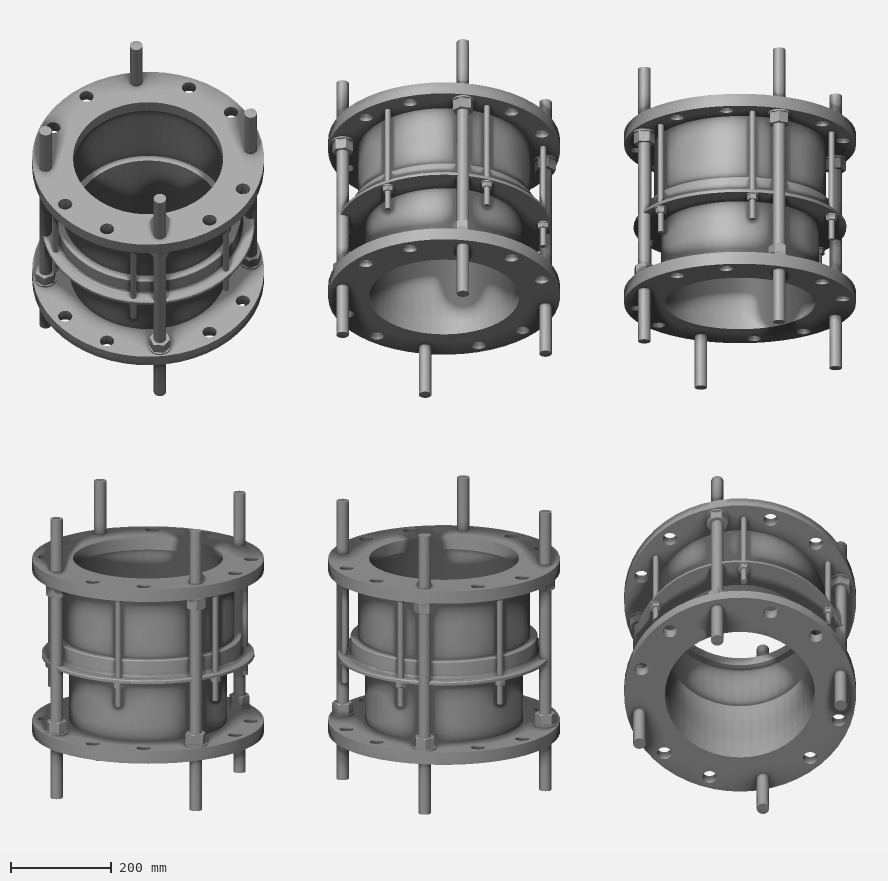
import cadquery as cq
import math

rod_length = 575.0
flange_diameter = 460.0
flange_thickness = 25.5
flange_spacing = 359.0
flange_outer_z = flange_spacing / 2
flange_inner_z = flange_outer_z - flange_thickness

bore_radius = 149.0
lower_pipe_radius = 156.5
upper_pipe_inner_radius = 161.5
upper_pipe_radius = 171.0
lower_pipe_top_z = 6.0

gland_bottom_z = -20.5
gland_plate_thickness = 7.0
gland_plate_radius = 211.0
gland_hub_top_z = 20.5
gland_hub_top_radius = 186.0
gland_hub_base_radius = 187.5
gland_hub_edge_round = 2.5
gland_hub_base_fillet = 6.0
gland_plate_edge_round = 2.0

bolt_circle_radius = 204.5
bolt_count = 12
rod_every = 3
first_rod_angle = 45.0
bolt_hole_diameter = 28.0
rod_diameter = 25.0
rod_washer_diameter = 44.0
rod_washer_thickness = 3.5
rod_nut_flats = 36.0
rod_nut_height = 22.0
upper_nut_turn = 23.0
lower_nut_turn = 15.0

gland_bolt_count = 6
gland_bolt_circle_radius = 197.0
gland_bolt_diameter = 12.0
gland_bolt_end_z = -72.5
gland_washer_diameter = 24.0
gland_washer_thickness = 2.5
gland_nut_flats = 19.0
gland_nut_height = 10.0
gland_nut_turn = 30.0

nut_chamfer_angle = 30.0


def cylinder(radius, bottom_z, top_z):
    return cq.Workplane("XY").workplane(offset=bottom_z).circle(radius).extrude(top_z - bottom_z)


def tube(outer_radius, inner_radius, bottom_z, top_z):
    return cylinder(outer_radius, bottom_z, top_z).cut(cylinder(inner_radius, bottom_z, top_z))


def on_circle(shape, circle_radius, angle):
    """Move a shape built on the Z axis out along +X, then swing it round to the angle."""
    return shape.translate((circle_radius, 0, 0)).rotate((0, 0, 0), (0, 0, 1), angle)


def washer_and_nut(washer_diameter, washer_thickness, flats, height, turn):
    """Washer on the XY plane with a hexagon nut above it, chamfered at its free end."""
    corner_radius = flats / math.sqrt(3)
    top_z = washer_thickness + height
    chamfer_drop = (corner_radius - flats / 2) * math.tan(math.radians(nut_chamfer_angle))
    hexagon = (
        cq.Workplane("XY")
        .workplane(offset=washer_thickness)
        .polygon(6, 2 * corner_radius)
        .extrude(height)
        .rotate((0, 0, 0), (0, 0, 1), turn)
    )
    turned_blank = (
        cq.Workplane("XZ")
        .moveTo(0, 0)
        .lineTo(corner_radius, 0)
        .lineTo(corner_radius, top_z - chamfer_drop)
        .lineTo(flats / 2, top_z)
        .lineTo(0, top_z)
        .close()
        .revolve(360, (0, 0, 0), (0, 1, 0))
    )
    washer = cylinder(washer_diameter / 2, 0, washer_thickness)
    return washer.union(hexagon.intersect(turned_blank))


def flange(bottom_z):
    body = tube(flange_diameter / 2, bore_radius, bottom_z, bottom_z + flange_thickness)
    hole = cylinder(bolt_hole_diameter / 2, bottom_z, bottom_z + flange_thickness)
    for place in range(bolt_count):
        if place % rod_every:
            angle = first_rod_angle + place * 360 / bolt_count
            body = body.cut(on_circle(hole, bolt_circle_radius, angle))
    return body


def pipes():
    lower_pipe = tube(lower_pipe_radius, bore_radius, -flange_inner_z, lower_pipe_top_z)
    upper_pipe = tube(upper_pipe_radius, upper_pipe_inner_radius, gland_bottom_z, flange_inner_z)
    packing = tube(upper_pipe_inner_radius, lower_pipe_radius, gland_bottom_z, lower_pipe_top_z)
    return lower_pipe.union(packing).union(upper_pipe)


def gland():
    plate_top_z = gland_bottom_z + gland_plate_thickness
    body = (
        cq.Workplane("XZ")
        .moveTo(upper_pipe_radius, gland_bottom_z)
        .lineTo(gland_plate_radius, gland_bottom_z)
        .lineTo(gland_plate_radius, plate_top_z)
        .lineTo(gland_hub_base_radius, plate_top_z)
        .lineTo(gland_hub_top_radius, gland_hub_top_z)
        .lineTo(upper_pipe_radius, gland_hub_top_z)
        .close()
        .revolve(360, (0, 0, 0), (0, 1, 0))
    )
    largest = cq.selectors.RadiusNthSelector(-1)
    second_largest = cq.selectors.RadiusNthSelector(-2)
    body = body.edges(second_largest).fillet(gland_hub_base_fillet)
    body = body.faces(">Z").edges(largest).fillet(gland_hub_edge_round)
    return body.edges(largest).edges(">Z").fillet(gland_plate_edge_round)


def clamping_rod():
    fastener = (rod_washer_diameter, rod_washer_thickness, rod_nut_flats, rod_nut_height)
    lower_nut = washer_and_nut(*fastener, lower_nut_turn).translate((0, 0, -flange_inner_z))
    upper_nut = (
        washer_and_nut(*fastener, upper_nut_turn)
        .rotate((0, 0, 0), (1, 0, 0), 180)
        .translate((0, 0, flange_inner_z))
    )
    rod = cylinder(rod_diameter / 2, -rod_length / 2, rod_length / 2)
    return rod.union(lower_nut).union(upper_nut)


def gland_bolt():
    fastener = (gland_washer_diameter, gland_washer_thickness, gland_nut_flats, gland_nut_height)
    nut = (
        washer_and_nut(*fastener, gland_nut_turn)
        .rotate((0, 0, 0), (1, 0, 0), 180)
        .translate((0, 0, gland_bottom_z))
    )
    return cylinder(gland_bolt_diameter / 2, gland_bolt_end_z, flange_inner_z).union(nut)


result = pipes().union(gland()).union(flange(flange_inner_z)).union(flange(-flange_outer_z))

rod_count = bolt_count // rod_every
for index in range(rod_count):
    rod_angle = first_rod_angle + index * 360 / rod_count
    result = result.union(on_circle(clamping_rod(), bolt_circle_radius, rod_angle))

for index in range(gland_bolt_count):
    bolt_angle = index * 360 / gland_bolt_count
    result = result.union(on_circle(gland_bolt(), gland_bolt_circle_radius, bolt_angle))